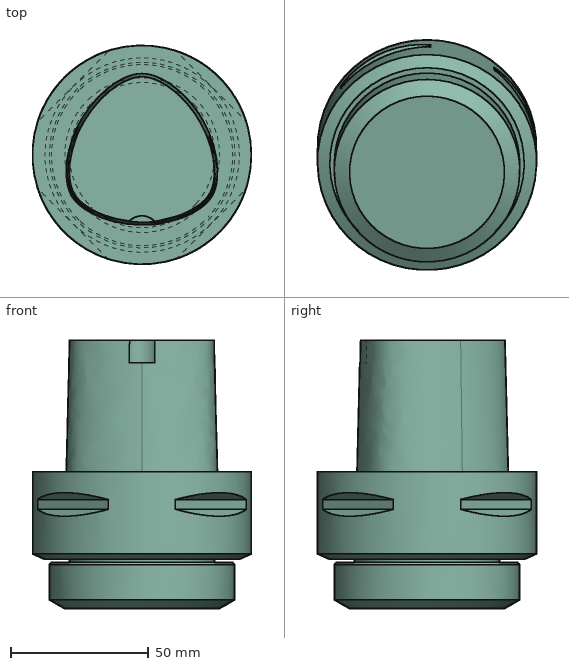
import cadquery as cq
import math

total_height = 98.0
shank_height = 48.0
flange_top = total_height - shank_height

collar_radius = 67.7 / 2
neck_radius = 53.0 / 2
flange_radius = 80.0 / 2
lead_in_height = 3.2
lead_in_angle = 60.0
lead_in_width = lead_in_height * math.tan(math.radians(lead_in_angle))
collar_top = 16.9
collar_chamfer = 0.8
flange_bottom = 17.9
flange_chamfer_height = 2.1
flange_chamfer_width = 4.5

shank_base_radius = 27.6
lobe_count = 3
lobe_height = 2.1
lobe_pitch = 2 * math.pi / lobe_count
taper_ratio = 1 / 40
shank_top_radius = shank_base_radius - shank_height * taper_ratio
points_per_lobe = 12

slot_count = 4
slot_first_angle = 45.0
slot_floor_distance = 35.6
slot_floor_height = 3.5
slot_center_height = 38.0
slot_wall_angle = 30.0
cutter_overrun = 1.0

key_radius = 6.3
key_center_y = -28.5
key_depth = 8.3


def make_body():
    """Solid of revolution below the shank."""
    profile = [
        (0, 0),
        (collar_radius - lead_in_width, 0),
        (collar_radius, lead_in_height),
        (collar_radius, collar_top - collar_chamfer),
        (collar_radius - collar_chamfer, collar_top),
        (neck_radius, collar_top),
        (neck_radius, flange_bottom),
        (flange_radius - flange_chamfer_width, flange_bottom),
        (flange_radius, flange_bottom + flange_chamfer_height),
        (flange_radius, flange_top),
        (0, flange_top),
    ]
    return cq.Workplane("XZ").polyline(profile).close().revolve(360, (0, 0), (0, 1))


def lobed_point(mean_radius, angle):
    """Point whose tangent line is mean_radius + lobe_height * cos(lobe_count * angle) from the axis.

    The angle is measured from the lobe on +Y.
    """
    distance = mean_radius + lobe_height * math.cos(lobe_count * angle)
    slide = -lobe_count * lobe_height * math.sin(lobe_count * angle)
    along_x = distance * math.sin(angle) + slide * math.cos(angle)
    along_y = distance * math.cos(angle) - slide * math.sin(angle)
    return along_x, along_y


def lobed_outline(workplane, mean_radius):
    """Closed outline of three splines, joined midway between the lobes."""
    step = lobe_pitch / points_per_lobe
    start_angle = -lobe_pitch / 2
    outline = workplane.moveTo(*lobed_point(mean_radius, start_angle))
    for lobe in range(lobe_count):
        first = start_angle + lobe * lobe_pitch
        last = first + lobe_pitch
        points = [lobed_point(mean_radius, first + i * step) for i in range(1, points_per_lobe + 1)]
        tangents = [(math.cos(a), -math.sin(a)) for a in (first, last)]
        outline = outline.spline(points, tangents=tangents, includeCurrent=True)
    return outline.close()


def make_shank():
    base = lobed_outline(cq.Workplane("XY").workplane(offset=flange_top), shank_base_radius)
    top_plane = base.workplane(offset=shank_height)
    return lobed_outline(top_plane, shank_top_radius).loft(ruled=True, combine=True)


def make_slot_cutter():
    """Trapezoidal bar along Y, with its floor facing +X."""
    outer_distance = flange_radius + cutter_overrun
    wall_rise = (outer_distance - slot_floor_distance) * math.tan(math.radians(slot_wall_angle))
    floor_half = slot_floor_height / 2
    outer_half = floor_half + wall_rise
    profile = [
        (slot_floor_distance, slot_center_height - floor_half),
        (outer_distance, slot_center_height - outer_half),
        (outer_distance, slot_center_height + outer_half),
        (slot_floor_distance, slot_center_height + floor_half),
    ]
    return cq.Workplane("XZ").polyline(profile).close().extrude(flange_radius, both=True)


def make_key_cutter():
    bottom = cq.Workplane("XY").workplane(offset=total_height - key_depth)
    return bottom.center(0, key_center_y).circle(key_radius).extrude(key_depth)


result = make_body().union(make_shank())
slot_cutter = make_slot_cutter()
for slot in range(slot_count):
    slot_angle = slot_first_angle + slot * 360 / slot_count
    result = result.cut(slot_cutter.rotate((0, 0, 0), (0, 0, 1), slot_angle))
result = result.cut(make_key_cutter())